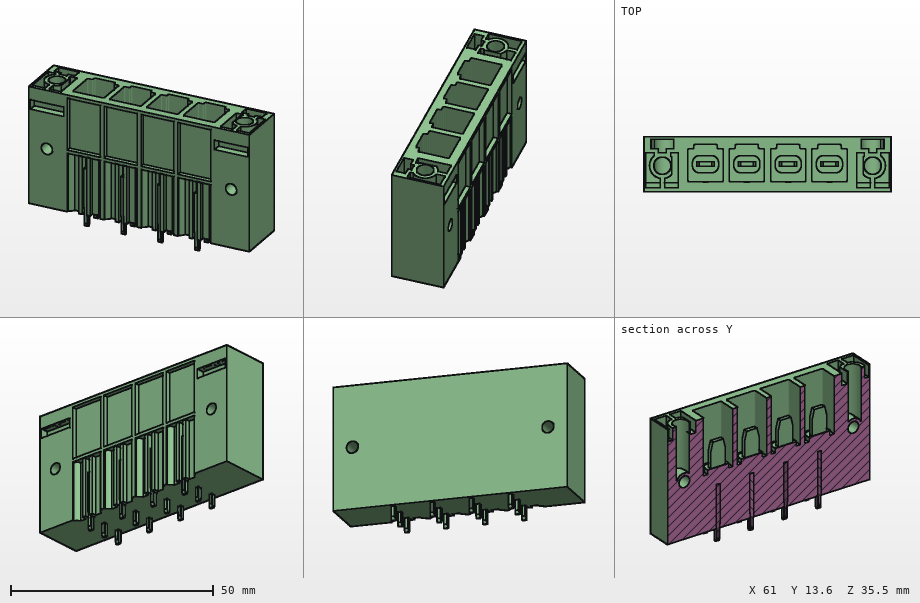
import cadquery as cq

LENGTH = 60.95
WIDTH = 13.6
HEIGHT = 31.95
FRONT_Y = -WIDTH / 2
MID_Z = HEIGHT / 2

POLE_COUNT = 4
POLE_PITCH = 10.2
POLE_XS = [(i - (POLE_COUNT - 1) / 2) * POLE_PITCH for i in range(POLE_COUNT)]

BAY_WIDTH = 9.1
WINDOW_BOTTOM_Z = 16.9
WINDOW_TOP_Z = 31.0
WINDOW_DEPTH = 1.3
BAY_TOP_Z = MID_Z
BAY_DEPTH = 1.6
BAY_SIDE_SPAN = 1.2
BAY_SIDE_DEPTH = 0.4
BAY_SIDE_RADIUS = 1.7
LUG_WIDTH = 3.2
LUG_SETBACK = 0.3
PRONG_SLOT_WIDTH = 1.2

SOCKET_WIDTH = 8.65
SOCKET_FRONT_Y = -4.3
SOCKET_BACK_Y = 3.85
SOCKET_FLOOR_Z = MID_Z
KEY_WIDTH = 5.7
KEY_BACK_Y = 4.9
SOCKET_FILLET = 0.3

COLLAR_LENGTH = 6.45
COLLAR_WIDTH = 4.25
COLLAR_FILLET = 1.8
COLLAR_HEIGHT = 1.2

PRONG_ROWS = 3
PRONG_PITCH = POLE_PITCH / 2
PRONG_WIDTH = 1.05
PRONG_THICKNESS = 1.2
PRONG_LENGTH = 3.55
PRONG_CHAMFER = 0.15
PRONG_CHAMFER_TOP_Z = 1.4
TIP_THICKNESS = 0.5
TIP_LENGTH = 0.9
BRIDGE_TOP_Z = 12.25
BRIDGE_HEIGHT = 3.05
BLADE_WIDTH = 4.3
BLADE_THICKNESS = 1.1
BLADE_TOP_Z = 24.4
BLADE_CHAMFER_WIDTH = 0.6
BLADE_CHAMFER_HEIGHT = 2.45
PRONG_YS = [(i - (PRONG_ROWS - 1) / 2) * PRONG_PITCH for i in range(PRONG_ROWS)]
BRIDGE_LENGTH = (PRONG_ROWS - 1) * PRONG_PITCH + PRONG_THICKNESS

SCREW_X = (POLE_COUNT + 1) / 2 * POLE_PITCH
SCREW_HOLE_DIAMETER = 3.05
SCREW_SLEEVE_RADIUS = 2.5
TUBE_X = 25.9
TUBE_Y = -0.35
TUBE_RADIUS = 3.2
TUBE_BORE_RADIUS = 2.15
TUBE_FLAT_X = 23.6
NECK_WIDTH = 4.0
RIB_WIDTH = 1.1
SIDE_WALL = 0.5
POCKET_OUTER_X = LENGTH / 2 - SIDE_WALL
POCKET_INNER_X = 22.0
POCKET_FRONT_Y = -5.8
POCKET_BACK_Y = 2.85
POCKET_FLOOR_Z = 28.65
NUT_SLOT_WIDTH = 5.65
NUT_SLOT_FRONT_Y = 3.8
NUT_SLOT_BACK_Y = 6.15
NUT_STEM_WIDTH = 1.95
NUT_LEDGE_WIDTH = 0.2
NUT_LEDGE_HEIGHT = 0.6
SIDE_SLOT_LENGTH = 9.15
SIDE_SLOT_FLOOR_Z = 25.85
SIDE_SLOT_HEIGHT = 2.55
SIDE_SLOT_DEPTH = 2.2


def block(x_range, y_range, z_range):
    """Box between the given limits along each axis."""
    (x0, x1), (y0, y1), (z0, z1) = x_range, y_range, z_range
    return cq.Workplane("XY").box(x1 - x0, y1 - y0, z1 - z0, centered=False).translate((x0, y0, z0))


def centred(middle, size):
    """Limits of a span of the given size around its middle."""
    return (middle - size / 2, middle + size / 2)


def upright_cylinder(x, y, radius, z_range):
    z0, z1 = z_range
    return cq.Workplane("XY", origin=(x, y, z0)).circle(radius).extrude(z1 - z0)


def crosswise_cylinder(x, z, radius):
    """Cylinder along Y through the full width of the housing."""
    return cq.Workplane("XZ", origin=(x, FRONT_Y, z)).circle(radius).extrude(-WIDTH)


def front_window(x):
    depth_range = (FRONT_Y, FRONT_Y + WINDOW_DEPTH)
    return block(centred(x, BAY_WIDTH), depth_range, (WINDOW_BOTTOM_Z, WINDOW_TOP_Z))


def front_bay(x):
    """Lower recess with a bulging rounded side against each rib and a slotted lug in the middle."""
    bay_z = (0, BAY_TOP_Z)
    half = BAY_WIDTH / 2
    inner_half = half - BAY_SIDE_SPAN
    back_y = FRONT_Y + BAY_DEPTH
    side_y = FRONT_Y + BAY_SIDE_DEPTH
    bay = (
        cq.Workplane("XY")
        .moveTo(x - half, FRONT_Y)
        .lineTo(x - half, side_y)
        .radiusArc((x - inner_half, back_y), -BAY_SIDE_RADIUS)
        .lineTo(x + inner_half, back_y)
        .radiusArc((x + half, side_y), -BAY_SIDE_RADIUS)
        .lineTo(x + half, FRONT_Y)
        .close()
        .extrude(BAY_TOP_Z)
    )
    lug = block(centred(x, LUG_WIDTH), (FRONT_Y + LUG_SETBACK, FRONT_Y + BAY_DEPTH), bay_z)
    slot_back_y = PRONG_YS[0] + PRONG_THICKNESS / 2
    slot = block(centred(x, PRONG_SLOT_WIDTH), (FRONT_Y, slot_back_y), bay_z)
    return bay.cut(lug).union(slot)


def socket(x):
    """Mating cavity with a collar standing on its floor."""
    depth_z = (SOCKET_FLOOR_Z, HEIGHT)
    cavity = block(centred(x, SOCKET_WIDTH), (SOCKET_FRONT_Y, SOCKET_BACK_Y), depth_z)
    key = block(centred(x, KEY_WIDTH), (SOCKET_FRONT_Y, KEY_BACK_Y), depth_z)
    cavity = cavity.union(key).edges("|Z").fillet(SOCKET_FILLET)
    collar_z = (SOCKET_FLOOR_Z, SOCKET_FLOOR_Z + COLLAR_HEIGHT)
    collar = block(centred(x, COLLAR_LENGTH), centred(0, COLLAR_WIDTH), collar_z)
    return cavity.cut(collar.edges("|Z").fillet(COLLAR_FILLET))


def flange_pocket():
    """Shallow pocket around the upright tube, its neck and its rib."""
    z_range = (POCKET_FLOOR_Z, HEIGHT)
    x_range = (POCKET_INNER_X, POCKET_OUTER_X)
    pocket = block(x_range, (POCKET_FRONT_Y, POCKET_BACK_Y), z_range)
    tube = upright_cylinder(TUBE_X, TUBE_Y, TUBE_RADIUS, z_range)
    tube = tube.intersect(block((TUBE_FLAT_X, POCKET_OUTER_X), (POCKET_FRONT_Y, POCKET_BACK_Y), z_range))
    neck = block(centred(TUBE_X, NECK_WIDTH), (TUBE_Y, POCKET_BACK_Y), z_range)
    rib = block(centred(TUBE_X, RIB_WIDTH), (POCKET_FRONT_Y, TUBE_Y), z_range)
    return pocket.cut(tube).cut(neck).cut(rib)


def deep_shafts():
    """Tube bore and T-shaped nut slot with a ledge, ending on the sleeve around the screw hole."""
    z_range = (MID_Z, HEIGHT)
    bore = upright_cylinder(TUBE_X, TUBE_Y, TUBE_BORE_RADIUS, z_range)
    nut_slot = block(centred(TUBE_X, NUT_SLOT_WIDTH), (NUT_SLOT_FRONT_Y, NUT_SLOT_BACK_Y), z_range)
    nut_slot_outer_x = TUBE_X + NUT_SLOT_WIDTH / 2
    ledge_x = (nut_slot_outer_x - NUT_LEDGE_WIDTH, nut_slot_outer_x)
    ledge_z = (MID_Z, MID_Z + NUT_LEDGE_HEIGHT)
    ledge = block(ledge_x, (NUT_SLOT_FRONT_Y, NUT_SLOT_BACK_Y), ledge_z)
    stem = block(centred(TUBE_X, NUT_STEM_WIDTH), (POCKET_BACK_Y, NUT_SLOT_BACK_Y), z_range)
    sleeve = crosswise_cylinder(SCREW_X, MID_Z, SCREW_SLEEVE_RADIUS)
    return bore.union(nut_slot).union(stem).cut(sleeve).cut(ledge)


def side_slot():
    """Blind slot in the front face, below the shallow pocket."""
    x_range = (POCKET_OUTER_X - SIDE_SLOT_LENGTH, POCKET_OUTER_X)
    z_range = (SIDE_SLOT_FLOOR_Z, SIDE_SLOT_FLOOR_Z + SIDE_SLOT_HEIGHT)
    return block(x_range, (FRONT_Y, FRONT_Y + SIDE_SLOT_DEPTH), z_range)


def prong(x, y):
    """Solder prong with chamfered lower edges and a tip that tapers along Y."""
    shank = block(centred(x, PRONG_WIDTH), centred(y, PRONG_THICKNESS), (PRONG_CHAMFER_TOP_Z, BRIDGE_TOP_Z))
    leg = block(centred(x, PRONG_WIDTH), centred(y, PRONG_THICKNESS), (-PRONG_LENGTH, PRONG_CHAMFER_TOP_Z))
    leg = leg.edges("|Z").chamfer(PRONG_CHAMFER)
    half = PRONG_THICKNESS / 2
    tip_half = TIP_THICKNESS / 2
    side_outline = [
        (y - half, PRONG_CHAMFER_TOP_Z),
        (y - half, TIP_LENGTH - PRONG_LENGTH),
        (y - tip_half, -PRONG_LENGTH),
        (y + tip_half, -PRONG_LENGTH),
        (y + half, TIP_LENGTH - PRONG_LENGTH),
        (y + half, PRONG_CHAMFER_TOP_Z),
    ]
    taper = cq.Workplane("YZ", origin=(x - PRONG_WIDTH / 2, 0, 0)).polyline(side_outline).close()
    return shank.union(leg.intersect(taper.extrude(PRONG_WIDTH)))


def blade(x):
    """Flat mating blade whose top narrows along X."""
    half = BLADE_WIDTH / 2
    outline = [
        (x - half, BRIDGE_TOP_Z),
        (x + half, BRIDGE_TOP_Z),
        (x + half, BLADE_TOP_Z - BLADE_CHAMFER_HEIGHT),
        (x + half - BLADE_CHAMFER_WIDTH, BLADE_TOP_Z),
        (x - half + BLADE_CHAMFER_WIDTH, BLADE_TOP_Z),
        (x - half, BLADE_TOP_Z - BLADE_CHAMFER_HEIGHT),
    ]
    plane = cq.Workplane("XZ", origin=(0, -BLADE_THICKNESS / 2, 0))
    return plane.polyline(outline).close().extrude(-BLADE_THICKNESS)


def contact(x):
    """One contact: blade, bridge and a row of prongs."""
    bridge_z = (BRIDGE_TOP_Z - BRIDGE_HEIGHT, BRIDGE_TOP_Z)
    body = block(centred(x, PRONG_WIDTH), centred(0, BRIDGE_LENGTH), bridge_z)
    body = body.union(blade(x))
    for y in PRONG_YS:
        body = body.union(prong(x, y))
    return body


def housing_body(contacts):
    """Block with all recesses, and a matching hole for each contact."""
    body = block(centred(0, LENGTH), centred(0, WIDTH), (0, HEIGHT))
    for x in POLE_XS:
        body = body.cut(front_window(x)).cut(front_bay(x)).cut(socket(x))
    flange = flange_pocket().union(deep_shafts()).union(side_slot())
    flange = flange.union(crosswise_cylinder(SCREW_X, MID_Z, SCREW_HOLE_DIAMETER / 2))
    body = body.cut(flange).cut(flange.mirror("YZ"))
    for item in contacts:
        body = body.cut(item)
    return body


contacts = [contact(x) for x in POLE_XS]
housing = housing_body(contacts)

result = cq.Compound.makeCompound([housing.solids().val(), *[item.val() for item in contacts]])